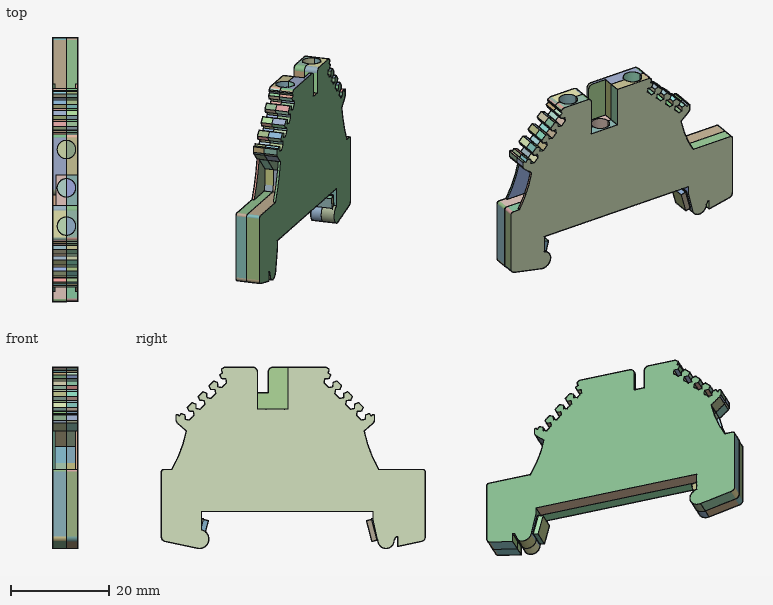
import cadquery as cq
import math


total_width = 5.1
left_width = 2.8
left_face = -left_width
right_face = total_width - left_width
side_wall = 0.5
inner_left = left_face + side_wall
inner_right = right_face - side_wall

base_front = -23.25
base_back = 30.55
front_step = 0.1
shoulder_height = 16.15
lower_corner_height = 1.6
underside_angle = 12.0
shoulder_radius = 0.55
lower_radius = 0.95

rail_middle = 2.4
rail_half_width = 17.45
rail_ceiling = 7.55
foot_break_height = 6.1
overlap = 0.55
front_lobe_radius = 1.95
front_lobe_y = -15.45
back_lobe_radius = 1.65
back_lobe_y = 22.55
foot_notch_y = 24.9
foot_notch_width = 0.3
foot_notch_top = 2.35

clip_tilt = 14.5
clip_thickness = 1.1
clip_length = 4.4
clip_corner_y = 19.6
clip_corner_z = 5.95
clip_middle = 2.5
clip_inset = 0.65
clip_left = left_face + clip_inset
clip_right = right_face - clip_inset

top_height = 36.95
top_edge_y = 10.15
top_corner_middle = (10.45, 36.9)
bump_points = [(10.65, 36.75), (11.0, 36.55), (11.0, 36.25)]
ridge_count = 5
ridge_step = 2.2
first_ridge_y = 10.8
first_ridge_z = 35.9
ridge_tip = 1.3
ridge_shoulder = 1.9
ridge_shoulder_depth = 1.5
ridge_neck = 0.8
ridge_neck_depth = 2.7
ridge_root = 1.6
ridge_root_depth = 3.9
ridge_notch_depth = 0.2
lip_points = [(19.85, 27.35), (20.25, 27.2), (20.25, 26.05), (20.0, 25.6)]
waist_y = 18.15
waist_z = 23.95
flank_middle = (19.3, 19.85)
flank_foot_y = 21.1

recess_edge_y = 18.45
recess_edge_z = 24.2
recess_wall_y = 14.8
recess_wall_top = 20.8
recess_wall_bottom = 17.4
recess_floor_y = 15.15

hole_radius = 1.9
hole_spacing = 7.8
hole_depth = 6.45
pocket_wall = 0.65
pocket_back = 2.65
pocket_floor = 28.4
slot_back = -1.45
slot_front = -3.6
slot_floor = 31.75
slot_radius = 1.0


def prism(points, x_start, x_end):
    """Closed YZ polygon extruded from x_start to x_end."""
    plane = cq.Workplane("YZ", origin=(x_start, 0, 0))
    return plane.polyline(points).close().extrude(x_end - x_start)


def box(x_range, y_range, z_range):
    (x0, x1), (y0, y1), (z0, z1) = x_range, y_range, z_range
    return cq.Workplane("XY").box(x1 - x0, y1 - y0, z1 - z0, centered=False).translate((x0, y0, z0))


def mirrored(points, middle=0.0):
    """Points reflected in the plane Y = middle, in reverse order."""
    return [(2 * middle - y, z) for y, z in reversed(points)]


def ridge_point(index, depth, offset):
    """Point of a ridge: depth below its tip, offset downhill, on a 45 degree slope."""
    diagonal = math.sqrt(0.1447)
    y = first_ridge_y + index * ridge_step + (offset - depth) * diagonal
    z = first_ridge_z - index * ridge_step - (offset + depth) * diagonal
    return (y, z)


def tower_edge():
    """Back edge of the tower, from the end of its rounded top corner down to the waist."""
    downhill = [
        (0, ridge_tip),
        (ridge_shoulder_depth, ridge_shoulder),
        (ridge_neck_depth, ridge_neck),
        (ridge_root_depth, ridge_root),
    ]
    uphill = [(depth, -offset) for depth, offset in reversed(downhill)]
    notch = [(ridge_notch_depth, 0)]
    points = list(bump_points)
    for index in range(ridge_count):
        if index == 0:
            profile = notch + downhill
        elif index == ridge_count - 1:
            profile = uphill + notch
        else:
            profile = uphill + downhill
        points += [ridge_point(index, depth, offset) for depth, offset in profile]
    return points + lip_points + [(waist_y, waist_z)]


def tower(x_start, x_end):
    edge = tower_edge()
    flank_y, flank_z = flank_middle
    corner_y, corner_z = top_corner_middle
    plane = cq.Workplane("YZ", origin=(x_start, 0, 0))
    outline = (
        plane.polyline(edge)
        .threePointArc(flank_middle, (flank_foot_y, shoulder_height))
        .lineTo(flank_foot_y, rail_ceiling + overlap)
        .lineTo(-flank_foot_y, rail_ceiling + overlap)
        .lineTo(-flank_foot_y, shoulder_height)
        .threePointArc((-flank_y, flank_z), (-waist_y, waist_z))
    )
    for point in mirrored(edge)[1:]:
        outline = outline.lineTo(*point)
    outline = (
        outline.threePointArc((-corner_y, corner_z), (-top_edge_y, top_height))
        .lineTo(top_edge_y, top_height)
        .threePointArc(top_corner_middle, edge[0])
    )
    return outline.close().extrude(x_end - x_start)


def finger_recess():
    points = [
        (recess_edge_y, recess_edge_z),
        (recess_wall_y, recess_wall_top),
        (recess_wall_y, recess_wall_bottom),
        (recess_floor_y, shoulder_height),
        (base_back, shoulder_height),
        (base_back, recess_edge_z),
    ]
    back = prism(points, inner_left, inner_right)
    return back.union(prism(mirrored(points), inner_left, inner_right))


def base(x_start, x_end, front):
    slope = math.tan(math.radians(underside_angle))
    tilt = math.radians(clip_tilt)
    rail_front = rail_middle - rail_half_width
    rail_back = rail_middle + rail_half_width
    tangent_y = back_lobe_y - back_lobe_radius * math.cos(tilt)
    tangent_z = back_lobe_radius * (1 - math.sin(tilt))
    underside_end = lower_corner_height - (front_lobe_y - base_front) * slope
    front_corner = lower_corner_height - (front - base_front) * slope
    lobe_touch_y = front_lobe_y - front_lobe_radius * math.sin(math.radians(underside_angle))
    lobe_touch_z = underside_end + (front_lobe_y - lobe_touch_y) * slope
    points = [
        (front, shoulder_height),
        (front, front_corner),
        (lobe_touch_y, lobe_touch_z),
        (front_lobe_y, front_lobe_radius),
        (rail_front, front_lobe_radius),
        (rail_front, rail_ceiling),
        (rail_back, rail_ceiling),
        (rail_back, foot_break_height),
        (tangent_y, tangent_z),
        (back_lobe_y, back_lobe_radius),
        (back_lobe_y + back_lobe_radius, back_lobe_radius),
        (foot_notch_y - foot_notch_width, foot_notch_top),
        (foot_notch_y, foot_notch_top),
        (foot_notch_y, lower_corner_height - (base_back - foot_notch_y) * slope),
        (base_back, lower_corner_height),
        (base_back, shoulder_height),
    ]
    middle_x = (x_start + x_end) / 2
    body = prism(points, x_start, x_end)
    for y in (front, base_back):
        body = body.edges(cq.NearestToPointSelector((middle_x, y, shoulder_height))).fillet(shoulder_radius)
        body = body.edges(cq.NearestToPointSelector((middle_x, y, lower_corner_height))).fillet(lower_radius)
    for y, radius in ((front_lobe_y, front_lobe_radius), (back_lobe_y, back_lobe_radius)):
        plane = cq.Workplane("YZ", origin=(x_start, 0, 0))
        body = body.union(plane.center(y, radius).circle(radius).extrude(x_end - x_start))
    return body


def clip_outline(side):
    """Corners of the tilted back clip (side = 1) or of its mirror image at the front (side = -1)."""
    tilt = math.radians(clip_tilt)
    down_y, down_z = clip_length * math.sin(tilt), -clip_length * math.cos(tilt)
    out_y, out_z = -clip_thickness * math.cos(tilt), -clip_thickness * math.sin(tilt)
    points = [
        (clip_corner_y, clip_corner_z),
        (clip_corner_y + down_y, clip_corner_z + down_z),
        (clip_corner_y + down_y + out_y, clip_corner_z + down_z + out_z),
        (clip_corner_y + out_y, clip_corner_z + out_z),
    ]
    return points if side > 0 else mirrored(points, clip_middle)


def rail_clip(side):
    return prism(clip_outline(side), clip_left, clip_right)


def clip_seat(side, x_start, x_end):
    """Pad of the foot that backs a clip."""
    clip_top, clip_bottom = clip_outline(1)[:2]
    points = [
        (rail_middle + rail_half_width + overlap, foot_break_height),
        (clip_top[0], foot_break_height),
        clip_top,
        clip_bottom,
        (clip_bottom[0] + overlap, clip_bottom[1] + overlap),
    ]
    if side < 0:
        points = mirrored(points, clip_middle)
    return prism(points, x_start, x_end)


def screw_holes():
    holes = cq.Workplane("XY")
    for y, top in ((-hole_spacing, top_height), (0, pocket_floor), (hole_spacing, top_height)):
        bottom = cq.Workplane("XY", origin=(0, y, top - hole_depth))
        holes = holes.union(bottom.circle(hole_radius).extrude(hole_depth))
    return holes


def side_pocket():
    x_range = (left_face + pocket_wall, right_face)
    return box(x_range, (slot_front, pocket_back), (pocket_floor, top_height))


def slot():
    """Slot across the tower with a mouth that rounds over to the top face."""
    plane = cq.Workplane("YZ", origin=(left_face, 0, 0))
    bend = slot_radius * (1 - math.sqrt(0.5))
    mouth = top_height - slot_radius
    outline = (
        plane.moveTo(slot_front, slot_floor)
        .lineTo(slot_front, mouth)
        .threePointArc((slot_front - bend, top_height - bend), (slot_front - slot_radius, top_height))
        .lineTo(slot_back + slot_radius, top_height)
        .threePointArc((slot_back + bend, top_height - bend), (slot_back, mouth))
        .lineTo(slot_back, slot_floor)
    )
    return outline.close().extrude(total_width)


clips = [rail_clip(side) for side in (1, -1)]


def housing_half(x_start, x_end, front):
    half = base(x_start, x_end, front).union(tower(x_start, x_end))
    for side in (1, -1):
        half = half.union(clip_seat(side, max(x_start, clip_left), min(x_end, clip_right)))
    for opening in (finger_recess(), slot(), side_pocket(), screw_holes(), *clips):
        half = half.cut(opening)
    return half.clean()


left_half = housing_half(left_face, 0, base_front)
right_half = housing_half(0, right_face, base_front + front_step)

result = cq.Compound.makeCompound([left_half.val(), right_half.val(), *[clip.val() for clip in clips]])